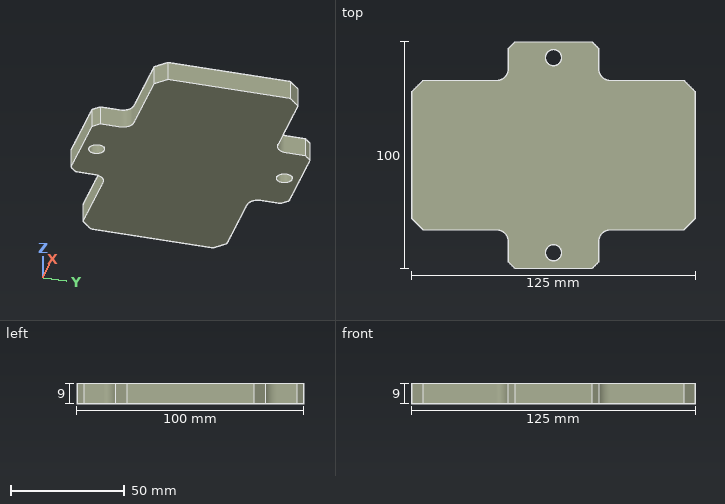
import cadquery as cq

thickness = 9.0
body_length = 125.0
body_width = 66.0
body_chamfer = 5.0
tab_width = 40.0
overall_width = 100.0
tab_chamfer = 3.0
inner_fillet = 5.0
hole_diameter = 7.0
hole_spacing = 86.0


def chamfered_plate(length, width, chamfer):
    """Plate centred on the origin with its four vertical edges chamfered."""
    return cq.Workplane("XY").box(length, width, thickness).edges("|Z").chamfer(chamfer)


def fillet_inner_corners(plate):
    """Round the four vertical edges where the tabs meet the body."""
    margin = 1.0
    corners = cq.selectors.BoxSelector(
        (-tab_width / 2 - margin, -body_width / 2 - margin, -thickness),
        (tab_width / 2 + margin, body_width / 2 + margin, thickness),
    )
    return plate.edges("|Z").edges(corners).fillet(inner_fillet)


def drill_tab_holes(plate):
    """Drill one through hole in each tab."""
    hole_centres = [(0, side * hole_spacing / 2) for side in (-1, 1)]
    return plate.faces(">Z").workplane(origin=(0, 0, 0)).pushPoints(hole_centres).hole(hole_diameter)


body = chamfered_plate(body_length, body_width, body_chamfer)
tabs = chamfered_plate(tab_width, overall_width, tab_chamfer)
result = drill_tab_holes(fillet_inner_corners(body.union(tabs)))